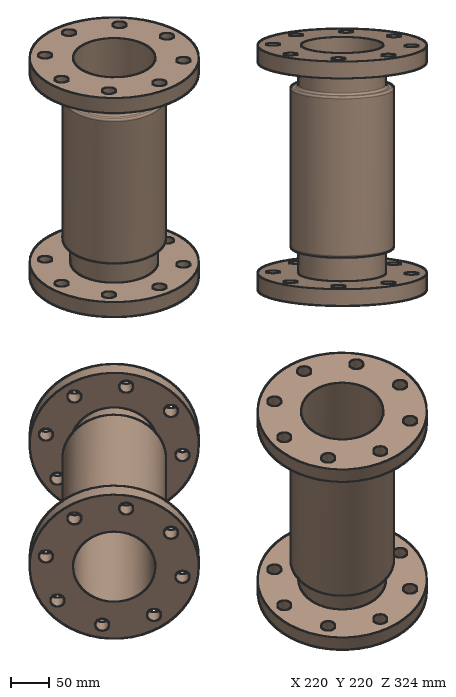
import cadquery as cq

length = 324.0
flange_diameter = 220.0
flange_thickness = 22.5
neck_diameter = 114.5
body_diameter = 135.0
bore_diameter = 107.0

shoulder_offset = 55.0
shoulder_radius = 3.0

bolt_count = 8
bolt_circle_diameter = 180.0
bolt_hole_diameter = 18.0
first_bolt_angle = 360 / bolt_count / 2


def cylinder(diameter, height, base_height):
    """Cylinder on the Z axis, rising from base_height."""
    return cq.Workplane("XY").workplane(offset=base_height).circle(diameter / 2).extrude(height)


def make_pipe():
    """Solid pipe and thicker body, with rounded shoulders and blended necks."""
    body_length = length - 2 * shoulder_offset
    body = cylinder(body_diameter, body_length, shoulder_offset)
    pipe = cylinder(neck_diameter, length, 0).union(body)
    shoulder_edges = cq.selectors.BoxSelector(
        (-body_diameter, -body_diameter, shoulder_offset / 2),
        (body_diameter, body_diameter, length - shoulder_offset / 2),
    )
    return pipe.edges("%CIRCLE").edges(shoulder_edges).fillet(shoulder_radius)


def make_flange(base_height):
    """Round flange, starting at base_height."""
    return cylinder(flange_diameter, flange_thickness, base_height)


def make_bolt_holes():
    """Cutters for the bolt holes, running through both flanges."""
    return (
        cq.Workplane("XY")
        .polarArray(bolt_circle_diameter / 2, first_bolt_angle, 360, bolt_count)
        .circle(bolt_hole_diameter / 2)
        .extrude(length)
    )


spool = make_pipe()
for flange_base in (0, length - flange_thickness):
    spool = spool.union(make_flange(flange_base))

bore = cylinder(bore_diameter, length, 0)
result = spool.cut(bore).cut(make_bolt_holes())